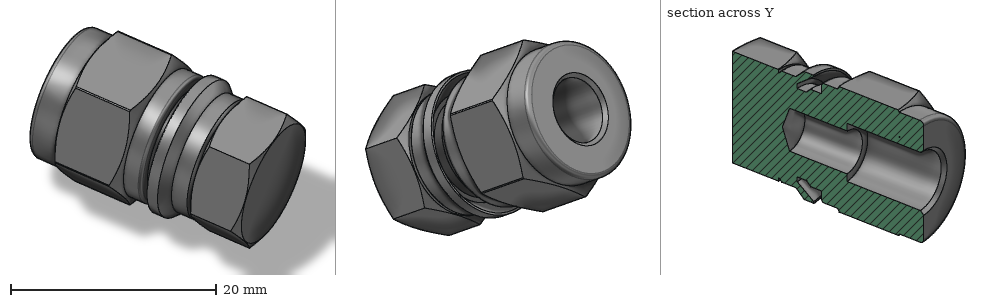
import cadquery as cq
import math

LENGTH = 23.55

NUT_COLLAR_D = 13.9
NUT_COLLAR_END = 3.01
NUT_FACE_FILLET = 0.5
NUT_FLATS = 14.3
NUT_CORNERS_D = 16.4
NUT_REAR_D = 13.6
NUT_HEX_END = 10.62
NUT_END = 12.6
NUT_REAR_FILLET = 0.33

NECK_D = 11.1
FLANGE_D = 14.6
FLANGE_START = 13.54
FLANGE_RIM_END = 14.71

NECK_END = 13.91
GROOVE_D = 10.1
CUP_D = 14.12
CUP_FLOOR_D = 11.1
CUP_FLOOR = 15.54

SHOULDER_START = 15.72
SHOULDER_D = 12.66
SHOULDER_CHAMFER = 0.38

PLUG_START = 17.85
PLUG_FLATS = 12.7
PLUG_FACE_D = 12.6

BORE_D = 6.55
BORE_DEPTH = 9.42
BORE_MOUTH_D = 7.35
INNER_BORE_D = 4.83
INNER_BORE_DEPTH = 16.48
DRILL_POINT_ANGLE = 140.0

CHAMFER_ANGLE = 30.0


def cylinder(start, end, diameter):
    return cq.Workplane("YZ", origin=(start, 0, 0)).circle(diameter / 2).extrude(end - start)


def revolve_about_x(points):
    """Turn a closed (x, radius) outline about the X axis."""
    return cq.Workplane("XY").polyline(points).close().revolve(360, (0, 0, 0), (1, 0, 0))


def chamfered_hexagon(start, end, flats, corners_d, start_face_d, end_face_d):
    """Hexagonal prism, flats facing up and down, with conical chamfers at both ends."""
    corners = flats / math.cos(math.radians(30))
    prism = cq.Workplane("YZ", origin=(start, 0, 0)).polygon(6, corners).extrude(end - start)
    slope = math.tan(math.radians(CHAMFER_ANGLE))
    start_chamfer = (corners_d - start_face_d) / 2 * slope
    end_chamfer = (corners_d - end_face_d) / 2 * slope
    envelope = revolve_about_x([
        (start, 0),
        (start, start_face_d / 2),
        (start + start_chamfer, corners_d / 2),
        (end - end_chamfer, corners_d / 2),
        (end, end_face_d / 2),
        (end, 0),
    ])
    return prism.intersect(envelope)


def make_nut():
    collar = cylinder(0, NUT_COLLAR_END, NUT_COLLAR_D).faces("<X").edges().fillet(NUT_FACE_FILLET)
    hexagon = chamfered_hexagon(
        NUT_COLLAR_END, NUT_HEX_END, NUT_FLATS, NUT_CORNERS_D, NUT_COLLAR_D, NUT_REAR_D
    )
    rear = cylinder(NUT_HEX_END, NUT_END, NUT_REAR_D).faces(">X").edges().fillet(NUT_REAR_FILLET)
    return collar.union(hexagon).union(rear)


def make_body():
    neck_taper = (NECK_D - GROOVE_D) / 2
    return revolve_about_x([
        (NUT_END, 0),
        (NUT_END, NECK_D / 2),
        (NECK_END, NECK_D / 2),
        (NECK_END + neck_taper, GROOVE_D / 2),
        (CUP_FLOOR, GROOVE_D / 2),
        (CUP_FLOOR, CUP_FLOOR_D / 2),
        (FLANGE_START, CUP_D / 2),
        (FLANGE_START, FLANGE_D / 2),
        (FLANGE_RIM_END, FLANGE_D / 2),
        (SHOULDER_START, SHOULDER_D / 2),
        (PLUG_START - SHOULDER_CHAMFER, SHOULDER_D / 2),
        (PLUG_START, SHOULDER_D / 2 - SHOULDER_CHAMFER),
        (PLUG_START, 0),
    ])


def make_plug():
    corners_d = PLUG_FLATS / math.cos(math.radians(30))
    return chamfered_hexagon(PLUG_START, LENGTH, PLUG_FLATS, corners_d, PLUG_FACE_D, PLUG_FACE_D)


def make_bore():
    mouth_chamfer = (BORE_MOUTH_D - BORE_D) / 2
    point_length = INNER_BORE_D / 2 / math.tan(math.radians(DRILL_POINT_ANGLE / 2))
    return revolve_about_x([
        (0, 0),
        (0, BORE_MOUTH_D / 2),
        (mouth_chamfer, BORE_D / 2),
        (BORE_DEPTH, BORE_D / 2),
        (BORE_DEPTH, INNER_BORE_D / 2),
        (INNER_BORE_DEPTH, INNER_BORE_D / 2),
        (INNER_BORE_DEPTH + point_length, 0),
    ])


result = make_nut().union(make_body()).union(make_plug()).cut(make_bore())